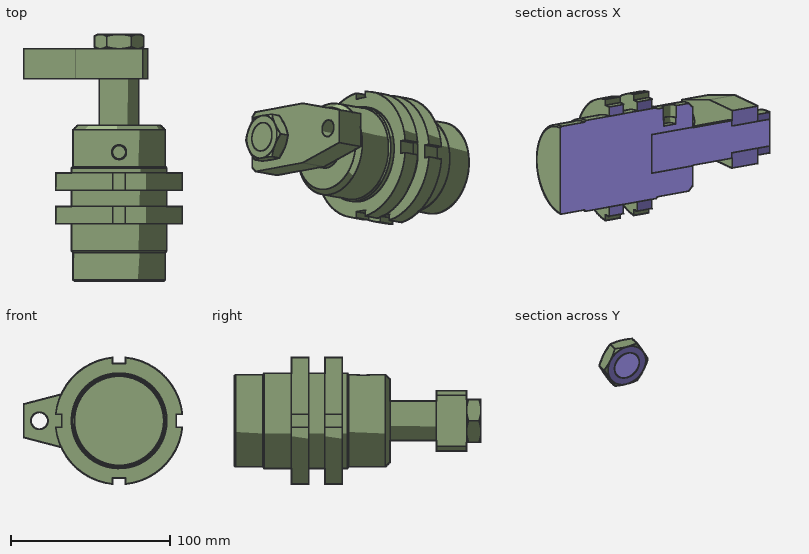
import cadquery as cq
import math


housing_length = 98.0
body_radius = 29.0
thread_radius = 30.0
thread_start = 18.0
thread_end = 72.0
thread_chamfer = thread_radius - body_radius
closed_end_chamfer = 1.0
rod_end_chamfer = 3.0

port_y = 81.0
port_diameter = 9.2
port_depth = 8.0
port_drill_diameter = 8.4
port_drill_depth = 12.0

ring_radius = 40.0
ring_thickness = 11.0
ring_starts = [36.0, 57.0]
slot_count = 4
slot_width = 8.0
slot_depth = 4.0

rod_diameter = 25.0
rod_seat_depth = 30.0
stud_diameter = 18.0

arm_start = 127.0
arm_thickness = 19.0
arm_half_height = 19.0
arm_tip_half_height = 10.5
arm_tip_x = -60.0
arm_taper_end_x = -27.5
arm_back_x = 18.0
arm_back_chamfer = 3.0
tip_hole_x = -50.0
tip_hole_diameter = 10.5

nut_height = 9.0
nut_across_flats = 27.0
nut_chamfer_angle = 30.0

arm_end = arm_start + arm_thickness
nut_end = arm_end + nut_height
rod_start = housing_length - rod_seat_depth


def section_at(y):
    """Workplane across the axis at height y, drawn with +X right and +Z up, extruding toward -Y."""
    return cq.Workplane("XZ", origin=(0, y, 0))


def cylinder(radius, start_y, end_y):
    """Solid cylinder on the Y axis between two heights."""
    return section_at(end_y).circle(radius).extrude(end_y - start_y)


def revolved(outline):
    """Solid of revolution about the Y axis from (radius, y) points."""
    return cq.Workplane("XY").polyline(outline).close().revolve(360, (0, 0, 0), (0, 1, 0))


def make_port():
    """Oil port bored in two steps, ready to cut from the housing."""
    mouth = cq.Workplane("XY", origin=(0, port_y, body_radius))
    bore = mouth.circle(port_diameter / 2).extrude(-port_depth)
    drill = mouth.circle(port_drill_diameter / 2).extrude(-port_drill_depth)
    return bore.union(drill)


def make_housing():
    outline = [
        (0, 0),
        (body_radius - closed_end_chamfer, 0),
        (body_radius, closed_end_chamfer),
        (body_radius, thread_start),
        (thread_radius, thread_start + thread_chamfer),
        (thread_radius, thread_end - thread_chamfer),
        (body_radius, thread_end),
        (body_radius, housing_length - rod_end_chamfer),
        (body_radius - rod_end_chamfer, housing_length),
        (0, housing_length),
    ]
    rod_bore = cylinder(rod_diameter / 2, rod_start, housing_length)
    return revolved(outline).cut(rod_bore).cut(make_port())


def make_ring(start_y):
    end_y = start_y + ring_thickness
    ring = cylinder(ring_radius, start_y, end_y).cut(cylinder(thread_radius, start_y, end_y))
    slots = (
        section_at(end_y)
        .polarArray(ring_radius, 0, 360, slot_count)
        .rect(2 * slot_depth, slot_width)
        .extrude(ring_thickness)
    )
    return ring.cut(slots)


def make_rod():
    shaft = cylinder(rod_diameter / 2, rod_start, arm_start)
    stud = cylinder(stud_diameter / 2, arm_start, nut_end)
    return shaft.union(stud)


def make_arm():
    upper_edge = [
        (arm_tip_x, arm_tip_half_height),
        (arm_taper_end_x, arm_half_height),
        (arm_back_x - arm_back_chamfer, arm_half_height),
        (arm_back_x, arm_half_height - arm_back_chamfer),
    ]
    lower_edge = [(x, -z) for x, z in reversed(upper_edge)]
    blank = section_at(arm_end).polyline(upper_edge + lower_edge).close().extrude(arm_thickness)
    tip_hole = (
        section_at(arm_end).center(tip_hole_x, 0).circle(tip_hole_diameter / 2).extrude(arm_thickness)
    )
    stud_hole = cylinder(stud_diameter / 2, arm_start, arm_end)
    return blank.cut(tip_hole).cut(stud_hole)


def make_nut():
    """Hexagon nut with corners on the X axis and both ends turned to a cone."""
    flat_radius = nut_across_flats / 2
    corner_radius = flat_radius / math.cos(math.pi / 6)
    cone_height = (corner_radius - flat_radius) * math.tan(math.radians(nut_chamfer_angle))
    hexagon = section_at(nut_end).polygon(6, 2 * corner_radius).extrude(nut_height)
    turned = revolved([
        (0, arm_end),
        (flat_radius, arm_end),
        (corner_radius, arm_end + cone_height),
        (corner_radius, nut_end - cone_height),
        (flat_radius, nut_end),
        (0, nut_end),
    ])
    return hexagon.intersect(turned).cut(cylinder(stud_diameter / 2, arm_end, nut_end))


housing = make_housing()
rings = [make_ring(start_y) for start_y in ring_starts]
rod = make_rod()
arm = make_arm()
nut = make_nut()

result = cq.Compound.makeCompound([
    housing.val(),
    *[ring.val() for ring in rings],
    rod.val(),
    arm.val(),
    nut.val(),
])